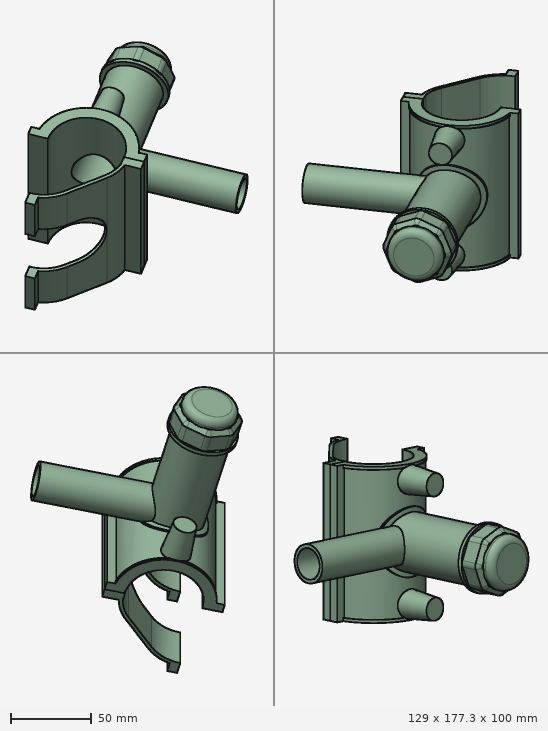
import cadquery as cq
import math

pipe_centre = (0, 0)
clamp_length = 100.0
pipe_radius = 25.0
flange_reach = 38.0
flange_thickness = 6.2

saddle_radius = 32.6
rim_radius = 33.2
rim_width = 2.1
collar_diameter = 45.0
collar_radius = 33.9

tower_diameter = 38.3
tower_bore_diameter = 31.5
branch_diameter = 25.0
branch_bore_diameter = 20.0
branch_height = 34.5
branch_end = 91.0

cap_base = 98.5
cap_flange_diameter = 45.0
cap_flange_thickness = 2.8
cap_sides = 8
cap_corner_diameter = 44.9
cap_corner_fillet = 5.3
cap_shoulder = 116.2
cap_chamfer = 3.2
cap_top_diameter = 36.0
cap_top = 122.7
cap_top_fillet = 5.0

boss_root_diameter = 20.0
boss_tip_diameter = 14.9
boss_root = 26.6
boss_tip = 54.6
boss_offset = 39.7

strap_thickness = 2.5
strap_outer_radius = 28.0
strap_inner_radius = strap_outer_radius - strap_thickness
strap_straight = 28.0
tangent_angle = -45
straight_direction = tangent_angle - 90
hook_outer_radius = 31.0
hook_inner_radius = hook_outer_radius - strap_thickness
hook_left = -22.5
hook_width = 6.4
hook_bottom = -54.6
hook_bottom_angle = -90
slot_radius = 20.0


def rod_z(radius, length):
    """Cylinder along Z, centred on the origin."""
    return cq.Workplane("XY", origin=(0, 0, -length / 2)).circle(radius).extrude(length)


def rod_y(diameter, start, end):
    """Cylinder around the Y axis between two heights."""
    return cq.Workplane("XZ", origin=(0, start, 0)).circle(diameter / 2).extrude(start - end)


def rod_x(diameter, height, end):
    """Cylinder along X from the tower axis."""
    return cq.Workplane("YZ").center(height, 0).circle(diameter / 2).extrude(end)


def make_saddle_shell():
    """Half round shell with raised end rims and two flanges, bore not yet cut."""
    shell = rod_z(saddle_radius, clamp_length)
    rim_centre = (clamp_length - rim_width) / 2
    for side in (-1, 1):
        shell = shell.union(rod_z(rim_radius, rim_width).translate((0, 0, side * rim_centre)))
    upper_half = cq.Workplane("XY").box(
        2 * rim_radius, rim_radius, clamp_length, centered=(True, False, True)
    )
    flanges = cq.Workplane("XY").box(
        2 * flange_reach, flange_thickness, clamp_length, centered=(True, False, True)
    )
    return shell.intersect(upper_half).union(flanges)


def make_collar():
    """Round pad at the foot of the tower that follows the saddle's curve."""
    return rod_y(collar_diameter, 0, collar_radius).intersect(rod_z(collar_radius, clamp_length))


def make_boss(z):
    """Tapered boss that stands on the saddle."""
    boss = cq.Solid.makeCone(
        boss_root_diameter / 2,
        boss_tip_diameter / 2,
        boss_tip - boss_root,
        pnt=cq.Vector(0, boss_root, z),
        dir=cq.Vector(0, 1, 0),
    )
    return cq.Workplane(obj=boss)


def make_cap():
    """Closed octagonal cap with a round flange and a rounded top."""
    octagon_base = cap_base + cap_flange_thickness
    flange = rod_y(cap_flange_diameter, cap_base, octagon_base)
    octagon = (
        cq.Workplane("XZ", origin=(0, octagon_base, 0))
        .polygon(cap_sides, cap_corner_diameter)
        .extrude(octagon_base - cap_shoulder)
        .edges("|Y").fillet(cap_corner_fillet)
        .faces(">Y").chamfer(cap_chamfer)
    )
    top = rod_y(cap_top_diameter, cap_base, cap_top).faces(">Y").edges().fillet(cap_top_fillet)
    return flange.union(octagon).union(top)


def make_housing():
    """Saddle, tower, branch, bosses and cap, with the connected bores."""
    housing = make_saddle_shell().union(make_collar())
    housing = housing.union(rod_y(tower_diameter, 0, cap_base)).union(make_cap())
    housing = housing.union(rod_x(branch_diameter, branch_height, branch_end))
    for side in (-1, 1):
        housing = housing.union(make_boss(side * boss_offset))
    tower_bore_end = cap_top - cap_top_fillet
    housing = housing.cut(rod_z(pipe_radius, clamp_length))
    housing = housing.cut(rod_y(tower_bore_diameter, 0, tower_bore_end))
    return housing.cut(rod_x(branch_bore_diameter, branch_height, branch_end))


def polar(centre, radius, degrees):
    """Point on a circle."""
    angle = math.radians(degrees)
    return (centre[0] + radius * math.cos(angle), centre[1] + radius * math.sin(angle))


def make_strap():
    """Flexible strap: flange, arc around the pipe, straight run, hook arc and end block."""
    straight_start = polar(pipe_centre, strap_inner_radius, tangent_angle)
    bend_start = polar(straight_start, strap_straight, straight_direction)
    hook_centre = polar(bend_start, hook_inner_radius, tangent_angle + 180)
    hook_right = hook_left + hook_width
    hook_angle = -math.degrees(math.acos((hook_right - hook_centre[0]) / hook_outer_radius))
    hook_top = hook_centre[1] - hook_inner_radius
    outer_angle = -math.degrees(math.asin(flange_thickness / strap_outer_radius))
    inner_angle = -math.degrees(math.asin(flange_thickness / strap_inner_radius))
    inner_start = polar(pipe_centre, strap_inner_radius, inner_angle)

    profile = (
        cq.Workplane("XY")
        .moveTo(inner_start[0], 0)
        .lineTo(flange_reach, 0)
        .lineTo(flange_reach, -flange_thickness)
        .lineTo(*polar(pipe_centre, strap_outer_radius, outer_angle))
        .threePointArc(
            polar(pipe_centre, strap_outer_radius, (outer_angle + tangent_angle) / 2),
            polar(pipe_centre, strap_outer_radius, tangent_angle),
        )
        .lineTo(*polar(hook_centre, hook_outer_radius, tangent_angle))
        .threePointArc(
            polar(hook_centre, hook_outer_radius, (hook_angle + tangent_angle) / 2),
            polar(hook_centre, hook_outer_radius, hook_angle),
        )
        .lineTo(hook_right, hook_bottom)
        .lineTo(hook_left, hook_bottom)
        .lineTo(hook_left, hook_top)
        .lineTo(*polar(hook_centre, hook_inner_radius, hook_bottom_angle))
        .threePointArc(
            polar(hook_centre, hook_inner_radius, (hook_bottom_angle + tangent_angle) / 2),
            bend_start,
        )
        .lineTo(*straight_start)
        .threePointArc(
            polar(pipe_centre, strap_inner_radius, (inner_angle + tangent_angle) / 2),
            inner_start,
        )
        .close()
    )
    strap = profile.extrude(clamp_length).translate((0, 0, -clamp_length / 2))
    return strap.cut(make_strap_slot())


def make_strap_slot():
    """Round-ended slot, square to the straight run and open through the end block."""
    slot_start = polar(pipe_centre, strap_inner_radius, tangent_angle)
    round_centre = polar(slot_start, slot_radius, straight_direction)
    slot_plane = cq.Plane(
        origin=(*round_centre, 0),
        xDir=(*polar((0, 0), 1, straight_direction), 0),
        normal=(*polar((0, 0), 1, tangent_angle), 0),
    )
    reach = -hook_bottom
    run = cq.Workplane(slot_plane).center(reach / 2, 0).rect(reach, 2 * slot_radius)
    round_end = cq.Workplane(slot_plane).circle(slot_radius)
    return run.extrude(reach, both=True).union(round_end.extrude(reach, both=True))


housing = make_housing()
strap = make_strap()

result = cq.Compound.makeCompound([housing.val(), strap.val()])